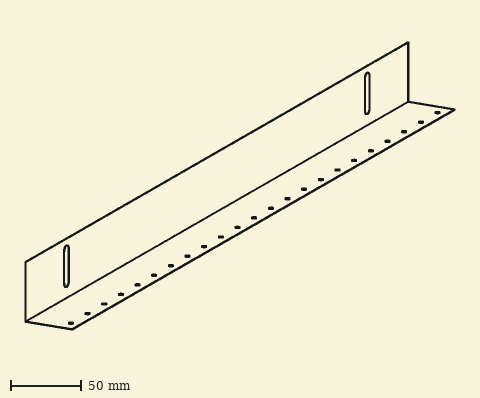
import cadquery as cq

length = 574.0
flange_width = 38.0
web_height = 45.0
thickness = 0.5

hole_count = 23
hole_diameter = 3.2
hole_end_margin = 12.0
hole_edge_margin = 7.5
hole_pitch = (length - 2 * hole_end_margin) / (hole_count - 1)

slot_width = 7.0
slot_height = 31.0
slot_spacing = 451.0
slot_top_margin = 5.0
slot_center_z = web_height - slot_top_margin - slot_height / 2


def angle_strip():
    """L-shaped strip centred on Y, with its outer corner along the Y axis."""
    flange = cq.Workplane("XY").box(flange_width, length, thickness, centered=(False, True, False))
    web = cq.Workplane("XY").box(thickness, length, web_height, centered=(False, True, False))
    return flange.union(web)


def flange_holes():
    """Cutters for the evenly spaced holes near the free edge of the flange."""
    return (
        cq.Workplane("XY")
        .center(flange_width - hole_edge_margin, 0)
        .rarray(6, hole_pitch, 1, hole_count)
        .circle(hole_diameter / 2)
        .extrude(thickness)
    )


def web_slots():
    """Cutters for the pair of round-ended slots in the web."""
    return (
        cq.Workplane("YZ")
        .center(0, slot_center_z)
        .rarray(slot_spacing, 6, 2, 1)
        .slot2D(slot_height, slot_width, 90)
        .extrude(thickness)
    )


result = angle_strip().cut(flange_holes()).cut(web_slots())